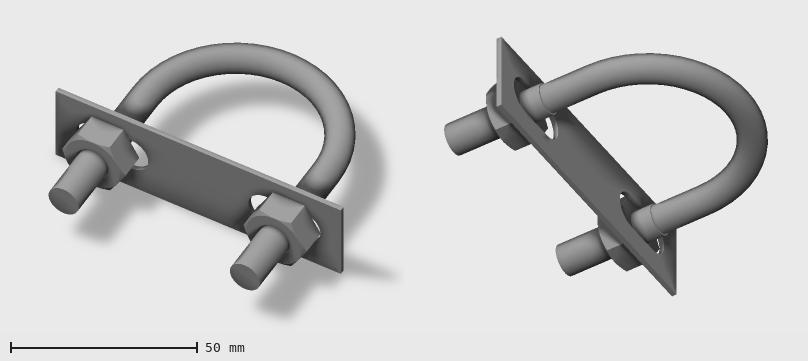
import cadquery as cq
import math

plate_length = 88.0
plate_height = 25.0
plate_thickness = 1.5
slot_length = 22.3
slot_width = 11.1
slot_offset = 26.6

leg_spacing = 56.0
bar_diameter = 8.4
thread_diameter = 9.2
thread_length = 30.0
bolt_depth = 76.2
thread_end_y = -23.85

nut_across_flats = 17.0
nut_height = 8.2
nut_countersink_diameter = 10.0
nut_face_diameter = 16.8
nut_chamfer_angle = 30.0

leg_x = leg_spacing / 2
thread_start_y = thread_end_y + thread_length
bend_center_y = thread_end_y + bolt_depth - leg_x - bar_diameter / 2
nut_across_corners = nut_across_flats / math.cos(math.radians(30))
nut_chamfer_width = (nut_across_corners - nut_face_diameter) / 2
nut_chamfer_height = nut_chamfer_width * math.tan(math.radians(nut_chamfer_angle))
nut_countersink_depth = (nut_countersink_diameter - thread_diameter) / 2


def cylinder_along_y(diameter, x, start_y, length):
    """Round bar that runs from start_y towards +Y."""
    return cq.Workplane(cq.Solid.makeCylinder(
        diameter / 2, length, cq.Vector(x, start_y, 0), cq.Vector(0, 1, 0)))


def make_u_bolt():
    """Semicircular bend with two straight legs ending in threaded lengths."""
    bend_path = (
        cq.Workplane("XY")
        .moveTo(-leg_x, thread_start_y)
        .lineTo(-leg_x, bend_center_y)
        .threePointArc((0, bend_center_y + leg_x), (leg_x, bend_center_y))
        .lineTo(leg_x, thread_start_y)
    )
    bolt = (
        cq.Workplane("XZ", origin=(-leg_x, thread_start_y, 0))
        .circle(bar_diameter / 2)
        .sweep(bend_path)
    )
    for x in (-leg_x, leg_x):
        bolt = bolt.union(cylinder_along_y(thread_diameter, x, thread_end_y, thread_length))
    return bolt


def make_plate():
    """Flat plate with one lengthwise slot for each leg."""
    slots = (
        cq.Workplane("XZ")
        .pushPoints([(-slot_offset, 0), (slot_offset, 0)])
        .slot2D(slot_length, slot_width)
        .extrude(-plate_thickness)
    )
    return cq.Workplane("XZ").rect(plate_length, plate_height).extrude(-plate_thickness).cut(slots)


def make_nut(x):
    """Hex nut seated on the plate, with its outer corners chamfered in a cone and a 45 degree countersink."""
    hexagon = (
        cq.Workplane("XZ", origin=(x, 0, 0))
        .polygon(6, nut_across_corners)
        .extrude(nut_height)
    )
    chamfer_envelope = (
        cq.Workplane("XZ", origin=(x, 0, 0))
        .circle(nut_across_corners / 2)
        .extrude(nut_height)
        .faces("<Y")
        .chamfer(nut_chamfer_height, nut_chamfer_width)
    )
    bore = cylinder_along_y(thread_diameter, x, -nut_height, nut_height)
    countersink = cq.Workplane(cq.Solid.makeCone(
        nut_countersink_diameter / 2, thread_diameter / 2, nut_countersink_depth,
        cq.Vector(x, -nut_height, 0), cq.Vector(0, 1, 0)))
    return hexagon.intersect(chamfer_envelope).cut(bore).cut(countersink)


u_bolt = make_u_bolt()
plate = make_plate()
nuts = [make_nut(x) for x in (-leg_x, leg_x)]

result = cq.Compound.makeCompound([u_bolt.val(), plate.val(), *[nut.val() for nut in nuts]])